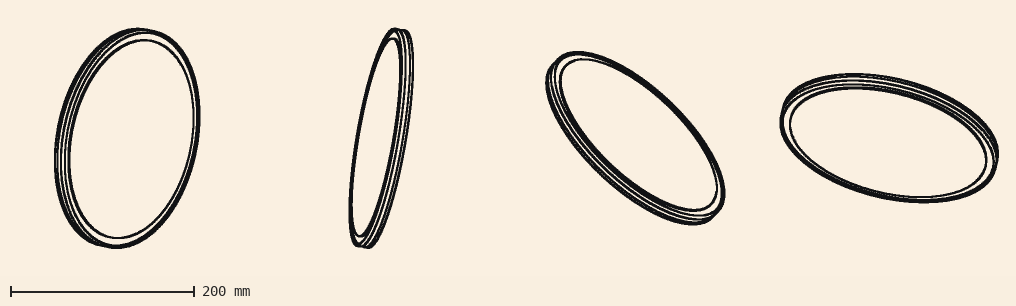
import cadquery as cq

outer_diameter = 240.0
thickness = 12.0
lip_inner_diameter = 235.0
panel_diameter = 218.5
face_channel_depth = 1.7
edge_radius = 0.5
groove_width = 4.8
groove_floor_diameter = 235.0

outer_radius = outer_diameter / 2
half_thickness = thickness / 2


def disc(diameter, start_x, length):
    """Solid disc around the X axis, growing from start_x toward +X."""
    return cq.Workplane("YZ").workplane(offset=start_x).circle(diameter / 2).extrude(length)


def face_channel(start_x):
    """Shallow ring between the raised centre panel and the outer lip."""
    lip_bore = disc(lip_inner_diameter, start_x, face_channel_depth)
    return lip_bore.cut(disc(panel_diameter, start_x, face_channel_depth))


def rim_groove():
    """Round-bottomed groove running around the rim at mid-thickness."""
    half_width = groove_width / 2
    return (
        cq.Workplane("XY")
        .moveTo(-half_width, outer_radius)
        .threePointArc((0, groove_floor_diameter / 2), (half_width, outer_radius))
        .close()
        .revolve(360, (0, 0, 0), (1, 0, 0))
    )


body = disc(outer_diameter, -half_thickness, thickness).faces("<X or >X").edges().fillet(edge_radius)

for channel_start in (-half_thickness, half_thickness - face_channel_depth):
    body = body.cut(face_channel(channel_start))

result = body.cut(rim_groove())